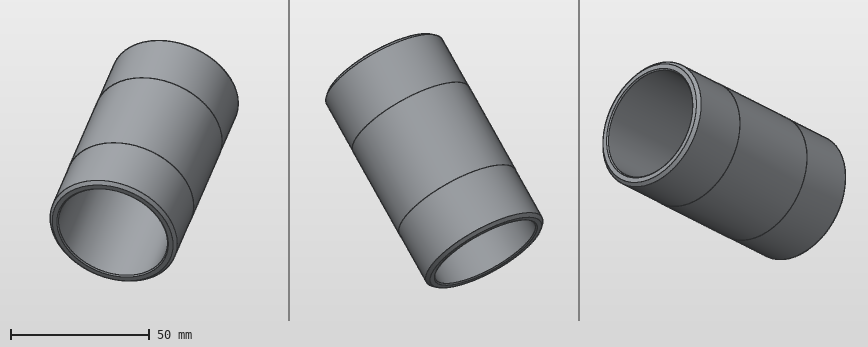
import cadquery as cq

length = 80.0
middle_diameter = 48.0
end_diameter = 47.8
bore_diameter = 41.0
end_length = 22.0
outer_chamfer = 1.2
bore_chamfer = 0.5

middle_length = length - 2 * end_length


def cylinder_along_y(diameter, height):
    """Solid cylinder on the Y axis, centred on the origin."""
    return cq.Workplane("XZ", origin=(0, height / 2, 0)).circle(diameter / 2).extrude(height)


body = cylinder_along_y(end_diameter, length).edges("%CIRCLE").chamfer(outer_chamfer)
sleeve = body.union(cylinder_along_y(middle_diameter, middle_length))

bored = sleeve.cut(cylinder_along_y(bore_diameter, length))
bore_mouths = cq.selectors.RadiusNthSelector(0)
result = bored.faces("<Y or >Y").edges(bore_mouths).chamfer(bore_chamfer)